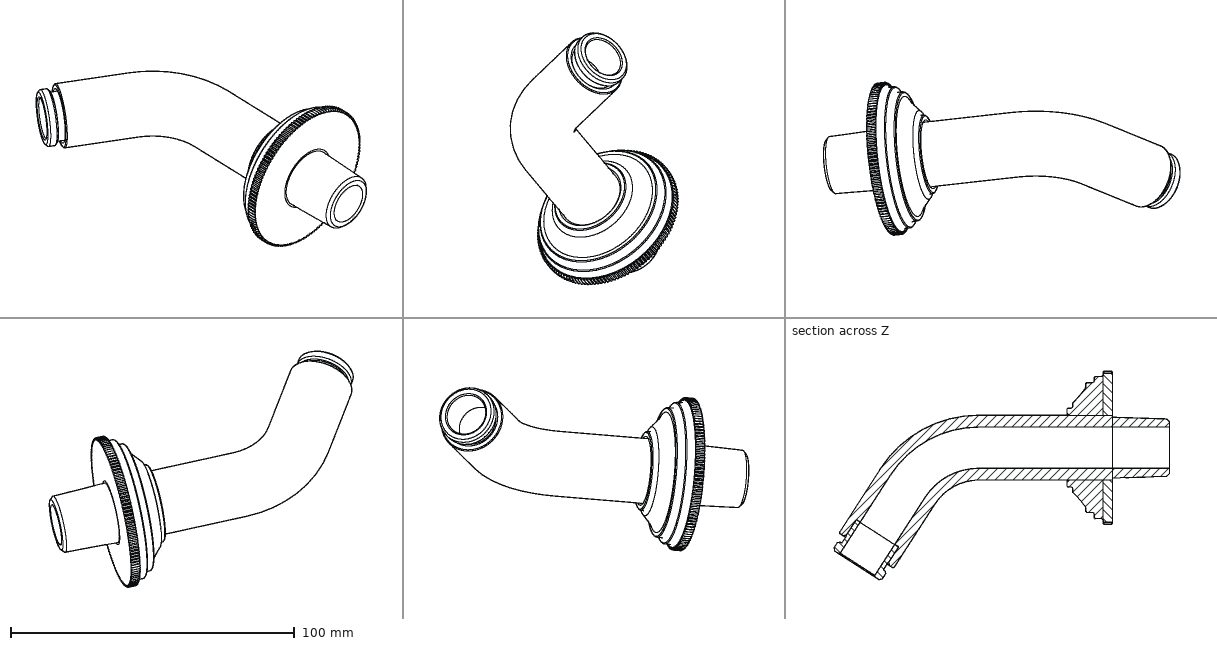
import cadquery as cq
import math


TUBE_RADIUS = 11.5
BORE_RADIUS = 7.2
BEND_START_X = -47.2
BEND_RADIUS = 29.7
BEND_ANGLE = 57.2
LEG_LENGTH = 27.0
TUBE_END_CHAMFER = 0.4
TUBE_MOUTH_CHAMFER = 1.0

NOZZLE_PROJECTION = 6.2
NOZZLE_INSERTION = 7.2
NOZZLE_SHANK_RADIUS = 8.8
NOZZLE_HEAD_RADIUS = 10.2
NOZZLE_HEAD_LENGTH = 3.8
NOZZLE_FRONT_CHAMFER = 0.8
NOZZLE_BACK_CHAMFER = 0.7
NOZZLE_MOUTH_CHAMFER = 0.5

RING_WIDTH = 3.3
RING_TIP_RADIUS = 27.0
RING_ROOT_RADIUS = 26.3
RING_CHAMFER = 0.4
TOOTH_COUNT = 128
TOOTH_WIDTH = 0.7

COLLAR_FRONT_X = -16.1
COLLAR_RADIUS = 14.0
CONE_FRONT_X = -14.1
CONE_FRONT_RADIUS = 16.1
CONE_BACK_RADIUS = 20.8
CONE_SAG = 0.1
CONE_EDGE_CHAMFER = 0.4
CONE_FOOT_LENGTH = 0.2
CONE_FOOT_HEIGHT = 0.5
FRONT_RIM_X = -9.5
FRONT_RIM_RADIUS = 23.0
BACK_RIM_X = -6.5
BACK_RIM_RADIUS = 25.1
ROSETTE_BACK_X = -RING_WIDTH
RIM_CHAMFER = 0.4
COVE_RADIUS = 0.7
BACK_COVE_RADIUS = 1.0
ROSETTE_MOUTH_CHAMFER = 0.7

NIPPLE_LENGTH = 20.1
NIPPLE_FRONT_RADIUS = 10.8
NIPPLE_BACK_RADIUS = 10.2
NIPPLE_CHAMFER = 1.1

FLANGE_PLANE = cq.Plane.XY()


def make_outlet_plane():
    """Plane through the outlet axis: local x runs out of the tube from its end, local y is a radius."""
    angle = math.radians(BEND_ANGLE)
    outflow = cq.Vector(-math.cos(angle), -math.sin(angle), 0)
    bend_end = cq.Vector(
        BEND_START_X - BEND_RADIUS * math.sin(angle),
        -BEND_RADIUS * (1 - math.cos(angle)),
        0,
    )
    return cq.Plane(origin=bend_end + outflow * LEG_LENGTH, xDir=outflow, normal=(0, 0, 1))


OUTLET_PLANE = make_outlet_plane()


def turn(profile):
    """Close a profile and turn it into a solid about the local x axis of its plane."""
    return profile.close().revolve(360, (0, 0), (1, 0))


def turned(plane, points):
    """Solid turned from straight lines through (axial position, radius) points."""
    return turn(cq.Workplane(plane).polyline(points))


def bent_rod(radius):
    """Round rod along the straight run, the bend and the outlet leg."""
    run = turned(FLANGE_PLANE, [(BEND_START_X, 0), (BEND_START_X, radius), (0, radius), (0, 0)])
    bend = (
        cq.Workplane("YZ", origin=(BEND_START_X, 0, 0))
        .circle(radius)
        .revolve(BEND_ANGLE, (-BEND_RADIUS, 0), (-BEND_RADIUS, 1))
    )
    leg = turned(OUTLET_PLANE, [(-LEG_LENGTH, 0), (-LEG_LENGTH, radius), (0, radius), (0, 0)])
    return run.union(bend).union(leg)


def make_tube():
    """Bent spout tube with a bore, and a socket for the nozzle in its outlet end."""
    end_bevel = turned(
        OUTLET_PLANE,
        [
            (-TUBE_END_CHAMFER, TUBE_RADIUS),
            (0, TUBE_RADIUS - TUBE_END_CHAMFER),
            (0, TUBE_RADIUS),
        ],
    )
    socket = turned(
        OUTLET_PLANE,
        [
            (-NOZZLE_INSERTION, 0),
            (-NOZZLE_INSERTION, NOZZLE_SHANK_RADIUS),
            (-TUBE_MOUTH_CHAMFER, NOZZLE_SHANK_RADIUS),
            (0, NOZZLE_SHANK_RADIUS + TUBE_MOUTH_CHAMFER),
            (0, 0),
        ],
    )
    return bent_rod(TUBE_RADIUS).cut(bent_rod(BORE_RADIUS)).cut(end_bevel).cut(socket)


def make_nozzle():
    """Bored insert: a shank in the tube socket, an open neck and a chamfered head."""
    tip = NOZZLE_PROJECTION
    head_back = tip - NOZZLE_HEAD_LENGTH
    return turned(
        OUTLET_PLANE,
        [
            (-NOZZLE_INSERTION, BORE_RADIUS),
            (-NOZZLE_INSERTION, NOZZLE_SHANK_RADIUS),
            (head_back, NOZZLE_SHANK_RADIUS),
            (head_back, NOZZLE_HEAD_RADIUS - NOZZLE_BACK_CHAMFER),
            (head_back + NOZZLE_BACK_CHAMFER, NOZZLE_HEAD_RADIUS),
            (tip - NOZZLE_FRONT_CHAMFER, NOZZLE_HEAD_RADIUS),
            (tip, NOZZLE_HEAD_RADIUS - NOZZLE_FRONT_CHAMFER),
            (tip, BORE_RADIUS + NOZZLE_MOUTH_CHAMFER),
            (tip - NOZZLE_MOUTH_CHAMFER, BORE_RADIUS),
        ],
    )


def add_step(profile, front_x, radius, back_x, cove_radius):
    """Add a chamfered rim that runs back along X and flares out into the next face through a cove."""
    cove_reach = cove_radius * math.sqrt(0.5)
    cove_middle = (back_x - cove_radius + cove_reach, radius + cove_radius - cove_reach)
    return (
        profile.lineTo(front_x, radius - RIM_CHAMFER)
        .lineTo(front_x + RIM_CHAMFER, radius)
        .lineTo(back_x - cove_radius, radius)
        .threePointArc(cove_middle, (back_x, radius + cove_radius))
    )


def make_rosette():
    """Stepped rosette sliding on the tube, with a countersunk hole."""
    profile = (
        cq.Workplane(FLANGE_PLANE)
        .moveTo(ROSETTE_BACK_X, TUBE_RADIUS)
        .lineTo(COLLAR_FRONT_X + ROSETTE_MOUTH_CHAMFER, TUBE_RADIUS)
        .lineTo(COLLAR_FRONT_X, TUBE_RADIUS + ROSETTE_MOUTH_CHAMFER)
    )
    profile = add_step(profile, COLLAR_FRONT_X, COLLAR_RADIUS, CONE_FRONT_X, COVE_RADIUS)
    profile = (
        profile.lineTo(CONE_FRONT_X, CONE_FRONT_RADIUS - CONE_EDGE_CHAMFER)
        .lineTo(CONE_FRONT_X + CONE_EDGE_CHAMFER, CONE_FRONT_RADIUS)
        .sagittaArc((FRONT_RIM_X - CONE_FOOT_LENGTH, CONE_BACK_RADIUS), -CONE_SAG)
        .lineTo(FRONT_RIM_X, CONE_BACK_RADIUS + CONE_FOOT_HEIGHT)
    )
    profile = add_step(profile, FRONT_RIM_X, FRONT_RIM_RADIUS, BACK_RIM_X, COVE_RADIUS)
    profile = add_step(profile, BACK_RIM_X, BACK_RIM_RADIUS, ROSETTE_BACK_X, BACK_COVE_RADIUS)
    return turn(profile)


def make_ring():
    """Ring on the tube with straight teeth around its rim, bevelled at both ends."""
    blank = turned(
        FLANGE_PLANE,
        [
            (-RING_WIDTH, TUBE_RADIUS),
            (-RING_WIDTH, RING_TIP_RADIUS - RING_CHAMFER),
            (-RING_WIDTH + RING_CHAMFER, RING_TIP_RADIUS),
            (-RING_CHAMFER, RING_TIP_RADIUS),
            (0, RING_TIP_RADIUS - RING_CHAMFER),
            (0, TUBE_RADIUS),
        ],
    )
    pitch = 2 * math.pi / TOOTH_COUNT
    tooth_half_angle = TOOTH_WIDTH / 2 / RING_ROOT_RADIUS
    corners = [
        (RING_ROOT_RADIUS, -tooth_half_angle),
        (RING_TIP_RADIUS, 0),
        (RING_ROOT_RADIUS, tooth_half_angle),
    ]
    outline = []
    for tooth in range(TOOTH_COUNT):
        middle = (tooth + 0.5) * pitch
        for radius, offset in corners:
            angle = middle + offset
            outline.append((radius * math.cos(angle), radius * math.sin(angle)))
    toothed_bar = cq.Workplane("YZ").polyline(outline).close().extrude(-RING_WIDTH)
    return blank.intersect(toothed_bar)


def make_nipple():
    """Tapered, bored nipple with a bevelled back end."""
    return turned(
        FLANGE_PLANE,
        [
            (0, BORE_RADIUS),
            (0, NIPPLE_FRONT_RADIUS),
            (NIPPLE_LENGTH - NIPPLE_CHAMFER, NIPPLE_BACK_RADIUS),
            (NIPPLE_LENGTH, NIPPLE_BACK_RADIUS - NIPPLE_CHAMFER),
            (NIPPLE_LENGTH, BORE_RADIUS),
        ],
    )


tube = make_tube()
nozzle = make_nozzle()
rosette = make_rosette()
ring = make_ring()
nipple = make_nipple()

result = cq.Compound.makeCompound(
    [tube.val(), nozzle.val(), rosette.val(), ring.val(), nipple.val()]
)